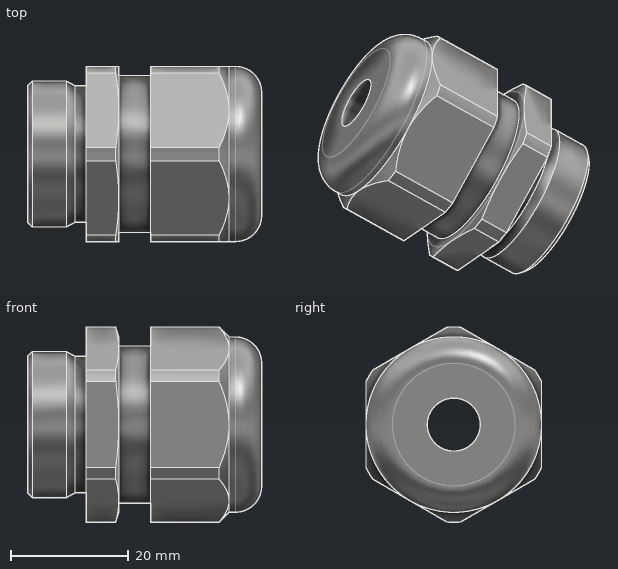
import cadquery as cq
import math

total_length = 40.0
end_chamfer = 0.8
thread_end = 6.6
neck_start = 8.1
body_hex_start = 10.0
body_hex_end = 15.55
cap_hex_start = 21.0
cap_hex_end = 34.4
dome_start = 35.5

thread_diameter = 25.0
neck_diameter = 23.35
collar_diameter = 26.9
across_flats = 30.0
across_corners = 33.4
bore_diameter = 9.0
bore_mouth_diameter = 12.75

body_hex_bevel_angle = 17.0
cap_hex_bevel_angle = 45.0


def revolve_profile(points):
    """Revolve a closed (x, radius) profile about the X axis."""
    return cq.Workplane("XY").polyline(points).close().revolve(360, (0, 0, 0), (1, 0, 0))


def cylinder(diameter, start, end):
    return cq.Workplane("YZ").workplane(offset=start).circle(diameter / 2).extrude(end - start)


def hexagon(start, end, bevel_angle):
    """Hexagon with flats facing +Y and -Y, rounded corners and a conical far end."""
    sharp_corners = across_flats / math.cos(math.radians(30))
    prism = (
        cq.Workplane("YZ")
        .workplane(offset=start)
        .transformed(rotate=(0, 0, 30))
        .polygon(6, sharp_corners)
        .extrude(end - start)
    )
    flat_radius = across_flats / 2
    corner_radius = across_corners / 2
    bevel_length = (corner_radius - flat_radius) * math.tan(math.radians(bevel_angle))
    envelope = revolve_profile([
        (start, 0),
        (start, corner_radius),
        (end - bevel_length, corner_radius),
        (end, flat_radius),
        (end, 0),
    ])
    return prism.intersect(envelope)


spigot = revolve_profile([
    (0, 0),
    (0, thread_diameter / 2 - end_chamfer),
    (end_chamfer, thread_diameter / 2),
    (thread_end, thread_diameter / 2),
    (neck_start, neck_diameter / 2),
    (body_hex_start, neck_diameter / 2),
    (body_hex_start, 0),
])

body_hex = hexagon(body_hex_start, body_hex_end, body_hex_bevel_angle)
collar = cylinder(collar_diameter, body_hex_end, cap_hex_start)
cap_hex = hexagon(cap_hex_start, cap_hex_end, cap_hex_bevel_angle)

dome = cylinder(across_flats, cap_hex_end, total_length).faces(">X").edges().fillet(total_length - dome_start)

bore = revolve_profile([
    (0, 0),
    (0, bore_mouth_diameter / 2),
    (cap_hex_start, bore_diameter / 2),
    (total_length, bore_diameter / 2),
    (total_length, 0),
])

result = spigot.union(body_hex).union(collar).union(cap_hex).union(dome).cut(bore)